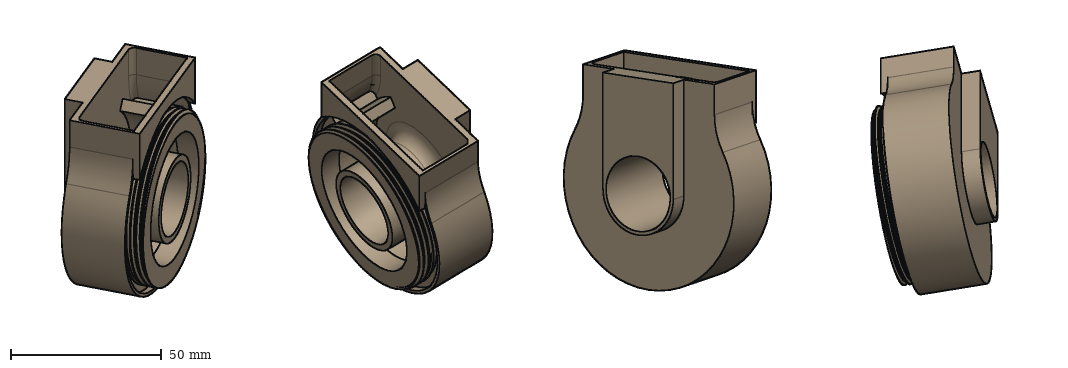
import cadquery as cq
import math


boss_depth = 6.3
body_depth = 22.4
collar_end = 27.4
lip_thickness = 2.4

body_diameter = 68.0
body_radius = body_diameter / 2
overall_height = 73.5
top_height = overall_height - body_radius
neck_half_width = 26.25
neck_blend_radius = 25.0

side_wall = 1.2
front_wall = 2.35
floor_fillet = 2.0

bore_radius = 12.8
hub_radius = 15.1
hub_fillet = 5.1
boss_radius = 14.05

collar_radius = 29.5
collar_bore_radius = 25.35
mouth_radius = 22.8
cap_recess_floor = 20.1

pocket_foot_half_width = 24.55
pocket_side_angle = 45.0
window_half_angle = 36.8

thread_begin = 21.1
thread_pitch = 2.05
thread_crest_radius = 30.1
thread_root_radius = 28.95
thread_crest_position = 21.9
thread_base_width = 1.55
thread_crest_width = 0.3
thread_embed = 0.3


def cylinder(radius, start, end):
    """Cylinder on the X axis between two X positions."""
    return cq.Workplane("YZ", origin=(start, 0, 0)).circle(radius).extrude(end - start)


def housing_profile(start, inset):
    """Disc-and-neck outline, moved inwards by inset, on the plane x = start."""
    radius = body_radius - inset
    half_width = neck_half_width - inset
    blend_radius = neck_blend_radius + inset
    blend_y = half_width + blend_radius
    blend_z = math.sqrt((radius + blend_radius) ** 2 - blend_y**2)
    disc_angle = math.atan2(blend_z, blend_y)
    disc_y = radius * math.cos(disc_angle)
    disc_z = radius * math.sin(disc_angle)
    middle_angle = math.pi + disc_angle / 2
    middle_y = blend_y + blend_radius * math.cos(middle_angle)
    middle_z = blend_z + blend_radius * math.sin(middle_angle)
    return (
        cq.Workplane("YZ", origin=(start, 0, 0))
        .moveTo(-half_width, top_height)
        .lineTo(half_width, top_height)
        .lineTo(half_width, blend_z)
        .threePointArc((middle_y, middle_z), (disc_y, disc_z))
        .threePointArc((0, -radius), (-disc_y, disc_z))
        .threePointArc((-middle_y, middle_z), (-half_width, blend_z))
        .close()
    )


def front_boss():
    """Raised strip from the round bore rim up to the top of the neck."""
    strip = (
        cq.Workplane("YZ", origin=(-boss_depth, 0, 0))
        .moveTo(-boss_radius, top_height)
        .lineTo(-boss_radius, 0)
        .threePointArc((0, -boss_radius), (boss_radius, 0))
        .lineTo(boss_radius, top_height)
        .close()
    )
    return strip.extrude(boss_depth)


def rear_lip():
    """Plate closing the back of the neck, cut away round the disc."""
    plate = (
        cq.Workplane("YZ", origin=(body_depth, 0, 0))
        .center(0, top_height / 2)
        .rect(2 * neck_half_width, top_height)
        .extrude(lip_thickness)
    )
    return plate.cut(cylinder(body_radius, body_depth, body_depth + lip_thickness))


def shell_cavity():
    """Space outside the collar: a pocket in the neck, and a ring-shaped recess at the back."""
    space = (
        housing_profile(front_wall, side_wall)
        .extrude(body_depth - front_wall)
        .faces("<X")
        .edges("not >Z")
        .fillet(floor_fillet)
    )
    foot_z = math.sqrt(collar_radius**2 - pocket_foot_half_width**2)
    reach = 2 * body_radius
    reach_z = foot_z + (reach - pocket_foot_half_width) * math.tan(math.radians(pocket_side_angle))
    backing = (
        cq.Workplane("YZ")
        .polyline([
            (-pocket_foot_half_width, foot_z),
            (pocket_foot_half_width, foot_z),
            (reach, reach_z),
            (reach, -reach),
            (-reach, -reach),
            (-reach, reach_z),
        ])
        .close()
        .extrude(cap_recess_floor)
    )
    return space.cut(backing).cut(cylinder(collar_radius, 0, collar_end))


def collar_window():
    """Opening with radial sides from the neck pocket through the collar wall."""
    outer_z = collar_radius
    outer_half_width = outer_z * math.tan(math.radians(window_half_angle))
    return (
        cq.Workplane("YZ", origin=(front_wall, 0, 0))
        .polyline([(0, 0), (outer_half_width, outer_z), (-outer_half_width, outer_z)])
        .close()
        .extrude(cap_recess_floor - front_wall)
    )


def hub():
    """Tube round the bore with a fillet at its root."""
    root_radius = hub_radius + hub_fillet
    arc_offset = hub_fillet * (1 - math.sqrt(0.5))
    half_section = (
        cq.Workplane("XY")
        .lineTo(0, root_radius)
        .lineTo(front_wall, root_radius)
        .threePointArc(
            (front_wall + arc_offset, hub_radius + arc_offset),
            (front_wall + hub_fillet, hub_radius),
        )
        .lineTo(collar_end, hub_radius)
        .lineTo(collar_end, 0)
        .close()
    )
    return half_section.revolve(360, (0, 0, 0), (1, 0, 0))


def threaded_collar():
    """Collar with a right-handed external thread behind a low shoulder."""
    flank_slope = (thread_base_width - thread_crest_width) / 2 / (thread_crest_radius - thread_root_radius)
    ridge_root_radius = thread_root_radius - thread_embed
    root_half_width = thread_base_width / 2 + flank_slope * thread_embed
    helix_start = thread_crest_position - thread_pitch
    length = collar_end - helix_start + thread_pitch
    helix = cq.Wire.makeHelix(thread_pitch, length, thread_root_radius)
    ridge = (
        cq.Workplane("XZ")
        .polyline([
            (ridge_root_radius, -root_half_width),
            (thread_crest_radius, -thread_crest_width / 2),
            (thread_crest_radius, thread_crest_width / 2),
            (ridge_root_radius, root_half_width),
        ])
        .close()
        .sweep(cq.Workplane(obj=helix), isFrenet=True)
    )
    ridge = ridge.rotate((0, 0, 0), (1, 1, 1), 120).translate((helix_start, 0, 0))
    ridge = ridge.cut(cylinder(body_radius, front_wall, thread_begin))
    overhang = cylinder(body_radius, collar_end, collar_end + 2 * thread_pitch)
    collar = cylinder(thread_root_radius, front_wall, collar_end + 2 * thread_pitch)
    collar = collar.union(cylinder(collar_radius, front_wall, thread_begin))
    return collar.union(ridge).cut(overhang)


body = housing_profile(0, 0).extrude(body_depth)
body = body.union(rear_lip()).cut(shell_cavity())
body = body.union(threaded_collar())
body = body.cut(cylinder(collar_bore_radius, front_wall, cap_recess_floor))
body = body.cut(cylinder(mouth_radius, front_wall, collar_end)).cut(collar_window())
body = body.union(hub()).union(front_boss())
result = body.cut(cylinder(bore_radius, -boss_depth, collar_end))